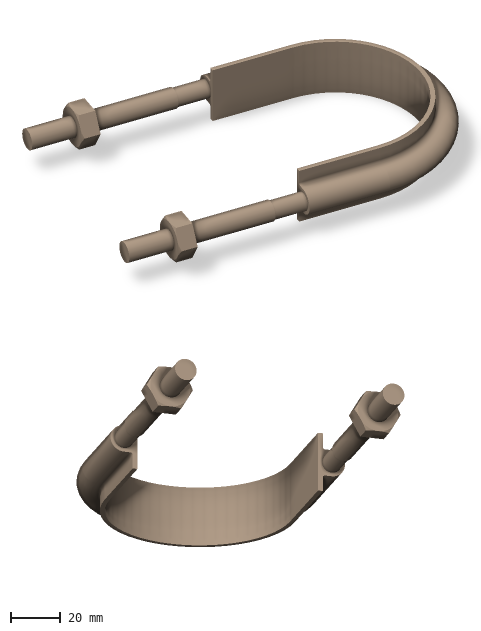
import cadquery as cq
import math

leg_spacing = 88.0
bend_radius = leg_spacing / 2
rod_diameter = 8.1
thread_diameter = 9.1
overall_length = 166.2
thread_start = 51.0

strip_outer_radius = 40.2
strip_thickness = 2.0
strip_width = 25.0
jacket_radius = 5.7
jacket_fillet = 1.0
sleeve_leg = 36.2

nut_flats = 17.0
nut_thickness = 8.0
nut_setback = 20.1
nut_chamfer_angle = 30.0

leg_end = overall_length - bend_radius - jacket_radius
nut_corners = nut_flats / math.cos(math.radians(30))
sides = (-1, 1)


def u_path(leg):
    """Centre line of the U, starting and ending at the leg ends."""
    return (
        cq.Workplane("XY")
        .moveTo(-bend_radius, -leg)
        .lineTo(-bend_radius, 0)
        .threePointArc((0, bend_radius), (bend_radius, 0))
        .lineTo(bend_radius, -leg)
    )


def round_bar(diameter, leg):
    """Round bar swept along the U."""
    section = cq.Workplane("XZ", origin=(-bend_radius, -leg, 0)).circle(diameter / 2)
    return section.sweep(u_path(leg))


def leg_cylinder(side, diameter, start, end):
    """Cylinder on one leg axis, between two distances below the bend centre."""
    plane = cq.Workplane("XZ", origin=(side * bend_radius, -start, 0))
    return plane.circle(diameter / 2).extrude(end - start)


def make_rod():
    rod = round_bar(rod_diameter, thread_start)
    for side in sides:
        rod = rod.union(leg_cylinder(side, thread_diameter, thread_start, leg_end))
    return rod


def sleeve_section():
    """Strip and jacket cross-section at the left leg end; local x = 0 is the rod axis."""
    strip_outer = bend_radius - strip_outer_radius
    strip_inner = strip_outer + strip_thickness
    half_width = strip_width / 2
    fillet_x = strip_outer - jacket_fillet
    fillet_z = jacket_radius + jacket_fillet
    mid_x = fillet_x + jacket_fillet * math.sqrt(0.5)
    mid_z = fillet_z - jacket_fillet * math.sqrt(0.5)
    return (
        cq.Workplane("XZ", origin=(-bend_radius, -sleeve_leg, 0))
        .moveTo(strip_inner, -half_width)
        .lineTo(strip_inner, half_width)
        .lineTo(strip_outer, half_width)
        .lineTo(strip_outer, fillet_z)
        .threePointArc((mid_x, mid_z), (fillet_x, jacket_radius))
        .lineTo(0, jacket_radius)
        .threePointArc((-jacket_radius, 0), (0, -jacket_radius))
        .lineTo(fillet_x, -jacket_radius)
        .threePointArc((mid_x, -mid_z), (strip_outer, -fillet_z))
        .lineTo(strip_outer, -half_width)
        .close()
    )


def make_sleeve():
    sleeve = sleeve_section().sweep(u_path(sleeve_leg))
    return sleeve.cut(round_bar(rod_diameter, sleeve_leg))


def make_nut(side):
    nut_end = leg_end - nut_setback
    nut_start = nut_end - nut_thickness
    nut = (
        cq.Workplane("XZ", origin=(side * bend_radius, -nut_start, 0))
        .polygon(6, nut_corners)
        .extrude(nut_thickness)
    )
    bevel_width = (nut_corners - nut_flats) / 2
    bevel_height = bevel_width * math.tan(math.radians(nut_chamfer_angle))
    blank = leg_cylinder(side, nut_corners, nut_start, nut_end)
    blank = blank.faces("<Y").chamfer(bevel_height, bevel_width)
    return nut.intersect(blank).cut(leg_cylinder(side, thread_diameter, nut_start, nut_end))


rod = make_rod()
sleeve = make_sleeve()
nuts = [make_nut(side) for side in sides]

result = cq.Compound.makeCompound([rod.val(), sleeve.val(), *[nut.val() for nut in nuts]])